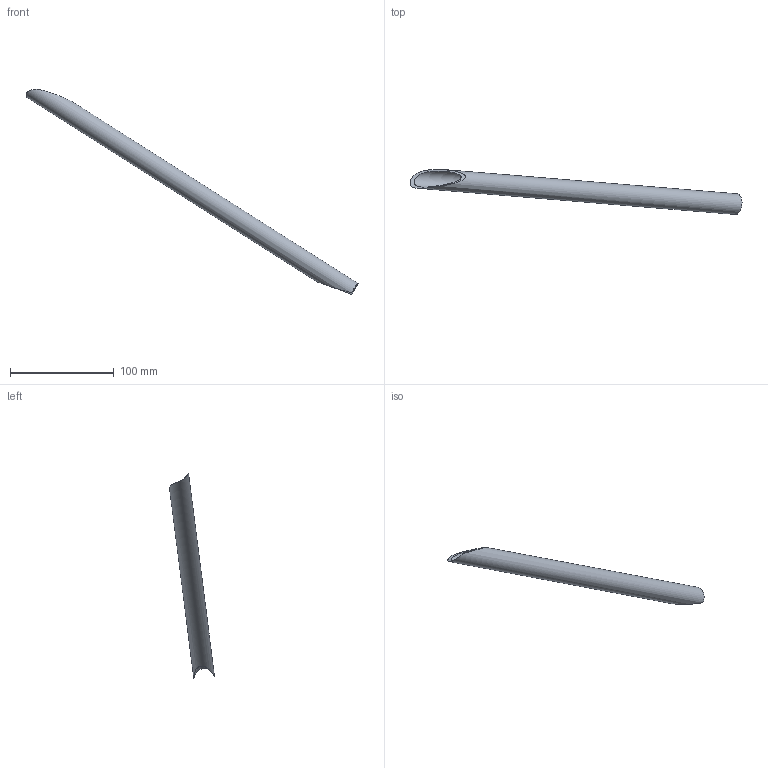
import cadquery as cq
import math

TUBE_RADIUS = 10.0
WALL = 1.5
TUBE_TURN = -4.66
TUBE_CLIMB = -32.36
TUBE_POINT = (0.0, 1.02, 1.65)
LOWER_LENGTH = 184.5
UPPER_LENGTH = 215.0

UPPER_COPE_RADIUS = 16.0
UPPER_COPE_POINT = (-140.0, 19.0, 101.6)
UPPER_COPE_TURN = 5.3
UPPER_COPE_CLIMB = -13.0

LOWER_COPE_RADIUS = TUBE_RADIUS
LOWER_COPE_POINT = (150.0, -11.6, -100.1)
LOWER_COPE_TURN = -4.6
LOWER_COPE_CLIMB = -5.0

COPE_HALF_LENGTH = 100.0


def direction(turn, climb):
    """Unit vector turned from +X toward +Y, then raised by the climb angle (degrees)."""
    turn_rad = math.radians(turn)
    climb_rad = math.radians(climb)
    level = math.cos(climb_rad)
    return cq.Vector(level * math.cos(turn_rad), level * math.sin(turn_rad), math.sin(climb_rad))


def tube():
    """Straight round tube with square-cut ends."""
    axis = direction(TUBE_TURN, TUBE_CLIMB)
    start = cq.Vector(*TUBE_POINT) - axis * UPPER_LENGTH
    section = cq.Workplane(cq.Plane(start, normal=axis)).circle(TUBE_RADIUS).circle(TUBE_RADIUS - WALL)
    return section.extrude(UPPER_LENGTH + LOWER_LENGTH)


def cope_cutter(radius, point, turn, climb):
    """Round bar that shapes a saddle in the tube end, centred on the given point."""
    axis = direction(turn, climb)
    start = cq.Vector(*point) - axis * COPE_HALF_LENGTH
    return cq.Workplane(cq.Solid.makeCylinder(radius, 2 * COPE_HALF_LENGTH, start, axis))


upper_cope = cope_cutter(UPPER_COPE_RADIUS, UPPER_COPE_POINT, UPPER_COPE_TURN, UPPER_COPE_CLIMB)
lower_cope = cope_cutter(LOWER_COPE_RADIUS, LOWER_COPE_POINT, LOWER_COPE_TURN, LOWER_COPE_CLIMB)
result = tube().cut(upper_cope).cut(lower_cope)